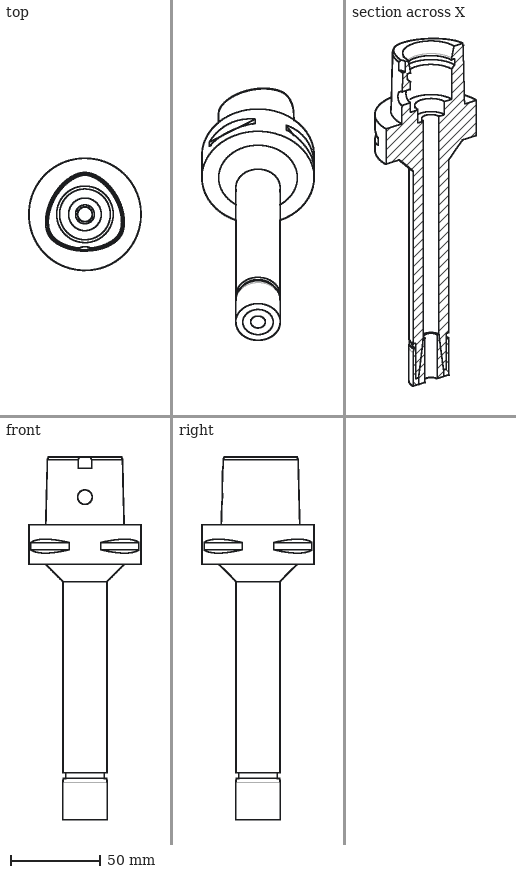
import cadquery as cq
import math

TOTAL_HEIGHT = 203.0

SHANK_LENGTH = 38.0
SHANK_BASE_DIAMETER = 44.0
SHANK_TAPER = 1 / 40
LOBE_HEIGHT = 1.5
POLYGON_POINTS = 24
RIM_CHAMFER_HEIGHT = 1.6
RIM_CHAMFER_DEPTH = 0.6

FLANGE_DIAMETER = 63.0
FLANGE_HEIGHT = 22.1
NOTCH_FLAT_DISTANCE = 27.6
NOTCH_FLAT_HEIGHT = 4.0
NOTCH_FLANK_ANGLE = 26.0
NOTCH_BELOW_FLANGE_TOP = 12.0
NOTCH_COUNT = 4

STEM_DIAMETER = 24.8
STEM_BOTTOM = 26.2
NOSE_DIAMETER = 21.7

BORE_MOUTH_RADIUS = 15.8
BORE_RADIUS = 14.2
BORE_MOUTH_DEPTH = 7.0
GROOVE_TOP_DEPTH = 8.3
GROOVE_FLANK_DEPTH = 11.8
GROOVE_RADIUS = 16.2
BORE_DEPTH = 32.5
COUNTERBORE_RADIUS = 9.1
COUNTERBORE_DEPTH = 40.5
CHANNEL_RADIUS = 5.3

SIDE_HOLE_DIAMETER = 8.1
SIDE_HOLE_BELOW_RIM = 22.5
SIDE_HOLE_FLOOR_DISTANCE = 14.5
INDEX_RADIUS = 5.7
INDEX_HEIGHT = 6.5
INDEX_INNER_DISTANCE = 18.0

NUT_DIAMETER = 25.0
NUT_HEIGHT = 23.1
NUT_CHAMFER_HEIGHT = 2.0
NUT_CHAMFER_DEPTH = 0.3
NUT_FRONT_WALL = 4.0

COLLET_LENGTH = 27.5
COLLET_FRONT_RADIUS = 8.5
COLLET_HOLE_RADIUS = 4.0

FLANGE_TOP = TOTAL_HEIGHT - SHANK_LENGTH
FLANGE_BOTTOM = FLANGE_TOP - FLANGE_HEIGHT
FLANGE_RADIUS = FLANGE_DIAMETER / 2
SHANK_BASE_RADIUS = SHANK_BASE_DIAMETER / 2
STEM_RADIUS = STEM_DIAMETER / 2
NOSE_RADIUS = NOSE_DIAMETER / 2
NUT_RADIUS = NUT_DIAMETER / 2
CONE_BOTTOM = FLANGE_BOTTOM - (SHANK_BASE_RADIUS - STEM_RADIUS)
SHANK_RIM_RADIUS = SHANK_BASE_RADIUS - SHANK_TAPER * SHANK_LENGTH
CHAMFER_START = TOTAL_HEIGHT - RIM_CHAMFER_HEIGHT
CHAMFER_START_RADIUS = SHANK_BASE_RADIUS - SHANK_TAPER * (SHANK_LENGTH - RIM_CHAMFER_HEIGHT)


def revolve_profile(points):
    """Solid of revolution about Z from (radius, height) corner points."""
    return cq.Workplane("XZ").polyline(points).close().revolve(360, (0, 0), (0, 1))


def polygon_wire(mean_radius, height):
    """Three-lobed curve of constant width with one lobe pointing to +Y."""
    points = []
    for index in range(POLYGON_POINTS):
        turn = math.pi + 2 * math.pi * index / POLYGON_POINTS
        x = LOBE_HEIGHT * (2 * math.sin(2 * turn) + math.sin(4 * turn)) - mean_radius * math.sin(turn)
        y = LOBE_HEIGHT * (2 * math.cos(2 * turn) - math.cos(4 * turn)) + mean_radius * math.cos(turn)
        points.append(cq.Vector(x, y, height))
    return cq.Wire.assembleEdges([cq.Edge.makeSpline(points, periodic=True)])


def polygon_frustum(bottom_radius, bottom, top_radius, top):
    wires = [polygon_wire(bottom_radius, bottom), polygon_wire(top_radius, top)]
    return cq.Workplane(cq.Solid.makeLoft(wires, True))


def polygon_shank():
    taper = polygon_frustum(SHANK_BASE_RADIUS, FLANGE_TOP, CHAMFER_START_RADIUS, CHAMFER_START)
    rim = polygon_frustum(
        CHAMFER_START_RADIUS, CHAMFER_START, SHANK_RIM_RADIUS - RIM_CHAMFER_DEPTH, TOTAL_HEIGHT
    )
    return taper.union(rim)


def holder_core():
    """Flange, cone, stem and nose."""
    return revolve_profile([
        (0, NUT_FRONT_WALL),
        (NOSE_RADIUS, NUT_FRONT_WALL),
        (NOSE_RADIUS, STEM_BOTTOM),
        (STEM_RADIUS, STEM_BOTTOM),
        (STEM_RADIUS, CONE_BOTTOM),
        (SHANK_BASE_RADIUS, FLANGE_BOTTOM),
        (FLANGE_RADIUS, FLANGE_BOTTOM),
        (FLANGE_RADIUS, FLANGE_TOP),
        (0, FLANGE_TOP),
    ])


def holder_bore():
    """Stepped bore with a clamping groove, open from the rim to the nose."""
    rim = TOTAL_HEIGHT
    groove_bottom_depth = GROOVE_FLANK_DEPTH + GROOVE_RADIUS - BORE_RADIUS
    return revolve_profile([
        (0, 0),
        (CHANNEL_RADIUS, 0),
        (CHANNEL_RADIUS, rim - COUNTERBORE_DEPTH),
        (COUNTERBORE_RADIUS, rim - COUNTERBORE_DEPTH),
        (COUNTERBORE_RADIUS, rim - BORE_DEPTH),
        (BORE_RADIUS, rim - BORE_DEPTH),
        (BORE_RADIUS, rim - groove_bottom_depth),
        (GROOVE_RADIUS, rim - GROOVE_FLANK_DEPTH),
        (GROOVE_RADIUS, rim - GROOVE_TOP_DEPTH),
        (BORE_RADIUS, rim - GROOVE_TOP_DEPTH),
        (BORE_RADIUS, rim - BORE_MOUTH_DEPTH),
        (BORE_MOUTH_RADIUS, rim),
        (0, rim),
    ])


def gripper_notch(angle):
    """Trapezoidal notch across the flange, facing the given direction."""
    reach = FLANGE_RADIUS - NOTCH_FLAT_DISTANCE
    half_floor = NOTCH_FLAT_HEIGHT / 2
    half_mouth = half_floor + reach * math.tan(math.radians(NOTCH_FLANK_ANGLE))
    return (
        cq.Workplane("XZ")
        .polyline([
            (NOTCH_FLAT_DISTANCE, -half_floor),
            (FLANGE_RADIUS, -half_mouth),
            (FLANGE_RADIUS, half_mouth),
            (NOTCH_FLAT_DISTANCE, half_floor),
        ])
        .close()
        .extrude(FLANGE_RADIUS, both=True)
        .translate((0, 0, FLANGE_TOP - NOTCH_BELOW_FLANGE_TOP))
        .rotate((0, 0, 0), (0, 0, 1), angle)
    )


def side_hole():
    """Flat-bottomed hole in the -Y side that stops just short of the bore."""
    return (
        cq.Workplane("XZ", origin=(0, -SIDE_HOLE_FLOOR_DISTANCE, TOTAL_HEIGHT - SIDE_HOLE_BELOW_RIM))
        .circle(SIDE_HOLE_DIAMETER / 2)
        .extrude(FLANGE_RADIUS)
    )


def index_notch():
    """Upright round notch in the -Y edge of the rim."""
    return (
        cq.Workplane("XY", origin=(0, -INDEX_INNER_DISTANCE - INDEX_RADIUS, TOTAL_HEIGHT - INDEX_HEIGHT))
        .circle(INDEX_RADIUS)
        .extrude(INDEX_HEIGHT)
    )


def collet_envelope():
    """Outer shape of the collet without its hole, tapering towards the stem."""
    return revolve_profile([
        (0, 0),
        (COLLET_FRONT_RADIUS, 0),
        (COLLET_FRONT_RADIUS, NUT_FRONT_WALL),
        (CHANNEL_RADIUS, COLLET_LENGTH),
        (0, COLLET_LENGTH),
    ])


def make_holder():
    holder = holder_core().union(polygon_shank()).cut(holder_bore()).cut(collet_envelope())
    spacing = 360 / NOTCH_COUNT
    for index in range(NOTCH_COUNT):
        holder = holder.cut(gripper_notch((index + 0.5) * spacing))
    return holder.cut(side_hole()).cut(index_notch())


def make_nut():
    """Cap around the nose, with a front wall that holds the collet."""
    return revolve_profile([
        (COLLET_FRONT_RADIUS, 0),
        (NUT_RADIUS, 0),
        (NUT_RADIUS, NUT_HEIGHT - NUT_CHAMFER_HEIGHT),
        (NUT_RADIUS - NUT_CHAMFER_DEPTH, NUT_HEIGHT),
        (NOSE_RADIUS, NUT_HEIGHT),
        (NOSE_RADIUS, NUT_FRONT_WALL),
        (COLLET_FRONT_RADIUS, NUT_FRONT_WALL),
    ])


def make_collet():
    hole = cq.Workplane("XY").circle(COLLET_HOLE_RADIUS).extrude(COLLET_LENGTH)
    return collet_envelope().cut(hole)


holder = make_holder()
nut = make_nut()
collet = make_collet()

result = cq.Compound.makeCompound([holder.val(), nut.val(), collet.val()])